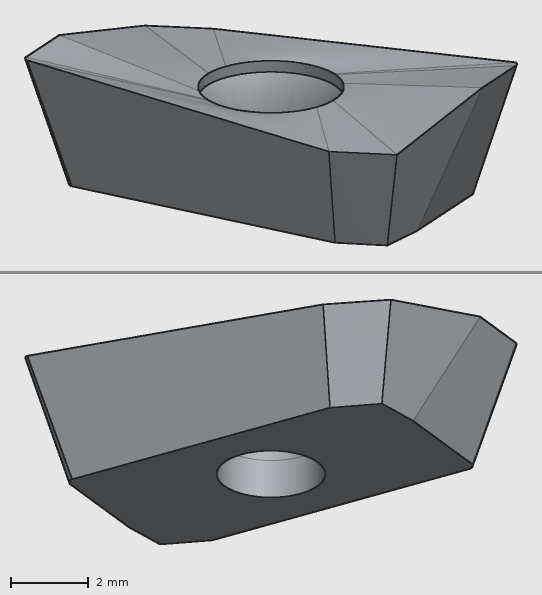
import cadquery as cq
import math

corner_height = 3.5
heel_height = 2.7
rim_height = 2.8

rim_radius = 1.87
bore_radius = 1.4
rim_wall_depth = 0.31
seat_depth = 1.43

top_half = [
    (5.54, 2.93, corner_height),
    (5.68, 2.74, corner_height),
    (5.68, 0.93, corner_height),
    (5.07, -2.55, heel_height),
    (3.42, -3.18, heel_height),
]
bottom_half = [
    (4.57, 2.32, 0),
    (4.76, 2.1, 0),
    (4.76, -0.91, 0),
    (4.59, -2.19, 0),
    (3.32, -2.66, 0),
]
crease_angles = [59.5, 57, 37, -3, -23]
corner_bulge = 0.04


def full_turn(half):
    points = [cq.Vector(*point) for point in half]
    return points + [cq.Vector(-p.x, -p.y, p.z) for p in points]


def outline_edges(half):
    """Edges of a closed outline; the first edge of each half is the rounded corner."""
    points = full_turn(half)
    edges = []
    for i, start in enumerate(points):
        end = points[(i + 1) % len(points)]
        if i % len(half) == 0:
            chord = end - start
            outward = cq.Vector(-chord.y, chord.x, 0).normalized()
            middle = (start + end) * 0.5 + outward * corner_bulge
            edges.append(cq.Edge.makeThreePointArc(start, middle, end))
        else:
            edges.append(cq.Edge.makeLine(start, end))
    return edges


def rim_point(degrees):
    angle = math.radians(degrees)
    return cq.Vector(rim_radius * math.cos(angle), rim_radius * math.sin(angle), rim_height)


def rim_edges():
    """Rim arcs, one facing each edge of the top outline."""
    angles = crease_angles + [angle - 180 for angle in crease_angles]
    angles.append(crease_angles[0] - 360)
    return [
        cq.Edge.makeThreePointArc(rim_point(a), rim_point((a + b) / 2), rim_point(b))
        for a, b in zip(angles, angles[1:])
    ]


def make_body():
    """Tapered body with a twisted top, closed by a flat disc inside the rim."""
    top = outline_edges(top_half)
    bottom = outline_edges(bottom_half)
    rim = rim_edges()
    faces = [cq.Face.makeRuledSurface(low, high) for low, high in zip(bottom, top)]
    faces += [cq.Face.makeRuledSurface(outer, inner) for outer, inner in zip(top, rim)]
    faces.append(cq.Face.makeFromWires(cq.Wire.assembleEdges(bottom)))
    faces.append(cq.Face.makeFromWires(cq.Wire.assembleEdges(rim)))
    return cq.Solid.makeSolid(cq.Shell.makeShell(faces))


def make_screw_hole():
    """Straight wall, convex arc seat, then a straight bore tangent to the seat."""
    wall_bottom = rim_height - rim_wall_depth
    seat_bottom = wall_bottom - seat_depth
    step = rim_radius - bore_radius
    seat_radius = (step**2 + seat_depth**2) / (2 * step)
    half_sweep = math.asin(seat_depth / seat_radius) / 2
    seat_middle = (
        bore_radius + seat_radius * (1 - math.cos(half_sweep)),
        seat_bottom + seat_radius * math.sin(half_sweep),
    )
    return (
        cq.Workplane("XZ")
        .moveTo(0, 0)
        .lineTo(bore_radius, 0)
        .lineTo(bore_radius, seat_bottom)
        .threePointArc(seat_middle, (rim_radius, wall_bottom))
        .lineTo(rim_radius, rim_height)
        .lineTo(0, rim_height)
        .close()
        .revolve(360, (0, 0, 0), (0, 1, 0))
    )


result = cq.Workplane(make_body()).cut(make_screw_hole())